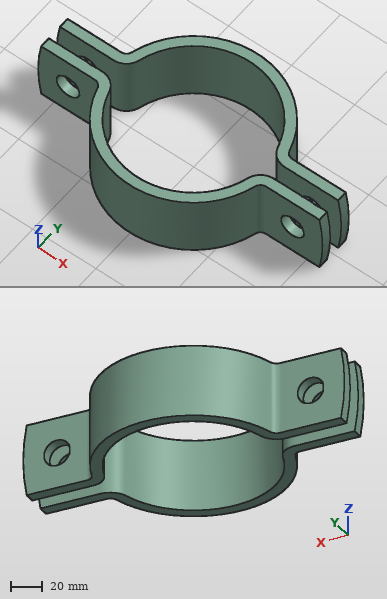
import cadquery as cq
import math

length = 225.4
width = 50.0
thickness = 8.0
outer_radius = 65.0
gap = 11.3
bend_radius = 5.6
hole_diameter = 18.0
hole_spacing = 177.8
end_bulge = 2.5

inner_radius = outer_radius - thickness
ear_inner_y = gap / 2
ear_outer_y = ear_inner_y + thickness
bend_outer_radius = bend_radius + thickness
bend_y = ear_outer_y + bend_radius
bend_centre_distance = outer_radius + bend_radius
bend_x = math.sqrt(bend_centre_distance**2 - bend_y**2)
bend_angle = math.atan2(bend_y, bend_x)
mid_bend_angle = (math.pi + bend_angle + 3 * math.pi / 2) / 2


def band_point(radius):
    """Point where the band surface of this radius meets the right bend."""
    return radius * math.cos(bend_angle), radius * math.sin(bend_angle)


def bend_point(radius):
    """Middle of the right bend arc of this radius."""
    return (
        bend_x + radius * math.cos(mid_bend_angle),
        bend_y + radius * math.sin(mid_bend_angle),
    )


def mirrored(point):
    return -point[0], point[1]


def strap_blank():
    """Bent strap with square ends, on the +Y side."""
    tip_x = length / 2
    outer_start = band_point(outer_radius)
    inner_start = band_point(inner_radius)
    return (
        cq.Workplane("XY")
        .workplane(offset=-width / 2)
        .moveTo(tip_x, ear_outer_y)
        .lineTo(bend_x, ear_outer_y)
        .threePointArc(bend_point(bend_radius), outer_start)
        .threePointArc((0, outer_radius), mirrored(outer_start))
        .threePointArc(mirrored(bend_point(bend_radius)), (-bend_x, ear_outer_y))
        .lineTo(-tip_x, ear_outer_y)
        .lineTo(-tip_x, ear_inner_y)
        .lineTo(-bend_x, ear_inner_y)
        .threePointArc(mirrored(bend_point(bend_outer_radius)), mirrored(inner_start))
        .threePointArc((0, inner_radius), inner_start)
        .threePointArc(bend_point(bend_outer_radius), (bend_x, ear_inner_y))
        .lineTo(tip_x, ear_inner_y)
        .close()
        .extrude(width)
    )


def end_envelope():
    """Block with bulged ends that rounds off the ear tips."""
    tip_x = length / 2
    corner_x = tip_x - end_bulge
    top_z = width / 2
    return (
        cq.Workplane("XZ")
        .moveTo(-corner_x, -top_z)
        .lineTo(corner_x, -top_z)
        .threePointArc((tip_x, 0), (corner_x, top_z))
        .lineTo(-corner_x, top_z)
        .threePointArc((-tip_x, 0), (-corner_x, -top_z))
        .close()
        .extrude(outer_radius, both=True)
    )


def bolt_holes():
    """Cylinders through both ears along Y."""
    return (
        cq.Workplane("XZ")
        .pushPoints([(-hole_spacing / 2, 0), (hole_spacing / 2, 0)])
        .circle(hole_diameter / 2)
        .extrude(outer_radius, both=True)
    )


def clamp_half(turn):
    """One clamp half, turned about Z by the given angle in degrees."""
    half = strap_blank().intersect(end_envelope()).cut(bolt_holes())
    return half.rotate((0, 0, 0), (0, 0, 1), turn)


clamp_halves = [clamp_half(turn).val() for turn in (0, 180)]

result = cq.Compound.makeCompound([solid for half in clamp_halves for solid in half.Solids()])